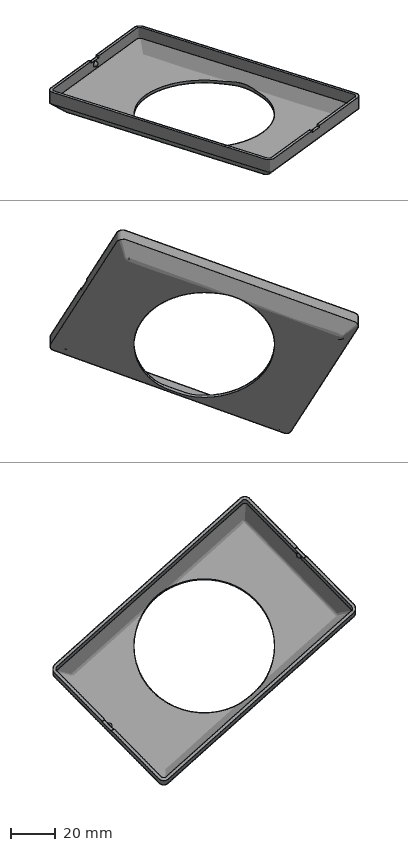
import cadquery as cq

length = 119.0
width = 73.5
height = 12.0
wall = 1.4
bevel = 6.0
corner_radius = 3.0
underside_fillet = 3.0
floor_fillet = 1.5
hole_diameter = 62.5
notch_width = 6.0
notch_depth = 1.0
bump_radius = 1.4
bump_inset = 0.2
bump_drop = 2.9

BEVEL_SHRINK_RATIO = 2 - 2**0.5
inner_length = length - 2 * wall
inner_width = width - 2 * wall
inner_bevel = bevel - wall * BEVEL_SHRINK_RATIO
inner_radius = corner_radius - wall


def beveled_block(block_length, block_width, floor_z, block_bevel, radius, bottom_radius):
    """Block up to the rim with a 45 degree bottom bevel, rounded at the corners and the bottom."""
    base = cq.Workplane("XY", origin=(0, 0, floor_z))
    rise = height - floor_z
    prism = base.rect(block_length, block_width).extrude(rise)
    prism = prism.edges("|Z").fillet(radius)
    floor_length = block_length - 2 * block_bevel
    floor_width = block_width - 2 * block_bevel
    frustum = (
        base.rect(floor_length, floor_width)
        .workplane(offset=rise)
        .rect(floor_length + 2 * rise, floor_width + 2 * rise)
        .loft(ruled=True)
    )
    frustum = frustum.edges("not(|X or |Y)").fillet(radius)
    frustum = frustum.faces("<Z").edges().fillet(bottom_radius)
    return prism.intersect(frustum)


outer = beveled_block(length, width, 0, bevel, corner_radius, underside_fillet)
cavity = beveled_block(inner_length, inner_width, wall, inner_bevel, inner_radius, floor_fillet)

for side in (-1, 1):
    bump = cq.Workplane("YZ").sphere(bump_radius)
    bump_x = side * (inner_length / 2 + bump_inset)
    cavity = cavity.cut(bump.translate((bump_x, 0, height - bump_drop)))
tray = outer.cut(cavity)

opening = cq.Workplane("XY").circle(hole_diameter / 2).extrude(height)
tray = tray.cut(opening)

notches = cq.Workplane("XY").box(2 * length, notch_width, 2 * notch_depth)
result = tray.cut(notches.translate((0, 0, height)))